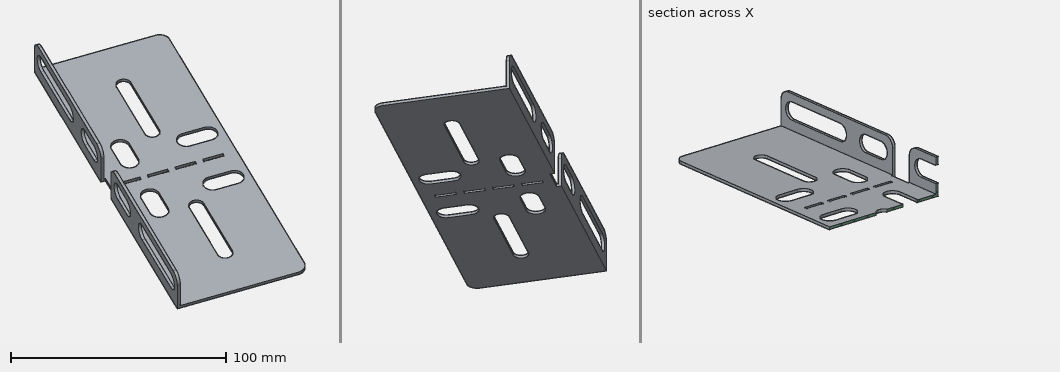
import cadquery as cq

length = 174.0
depth = 66.0
height = 20.0
thickness = 1.5
corner_radius = 5.0

gap_width = 12.0
gap_depth = 2.3

slot_width = 9.0
short_slot_length = 20.0

cross_slot_x = 16.0
cross_slot_y = 52.5
front_slot_x = 18.1
front_slot_y = 17.0

long_slot_x = 44.4
long_slot_y = 34.5
long_slot_length = 42.0
long_slot_width = 7.3

flange_slot_z = 11.3
flange_short_slot_x = 20.0
flange_long_slot_x = 61.6
flange_long_slot_length = 44.0

slit_width = 1.5
slit_length = 10.1
slit_pitch = 14.0
slit_count = 4
first_slit_y = 12.4


def mirrored(x, across):
    """Pair of points on both sides of the centre line."""
    return [(-x, across), (x, across)]


def base_slots(x, y, slot_length, width, angle=0):
    return (
        cq.Workplane("XY")
        .pushPoints(mirrored(x, y))
        .slot2D(slot_length, width, angle)
        .extrude(thickness)
    )


def flange_slots(x, slot_length):
    return (
        cq.Workplane("XZ")
        .pushPoints(mirrored(x, flange_slot_z))
        .slot2D(slot_length, slot_width)
        .extrude(-thickness)
    )


base = (
    cq.Workplane("XY")
    .box(length, depth, thickness, centered=(True, False, False))
    .edges("|Z and >Y")
    .fillet(corner_radius)
)
flange = cq.Workplane("XY").box(length, thickness, height, centered=(True, False, False))
bracket = base.union(flange)

gap = cq.Workplane("XY").box(gap_width, gap_depth, height, centered=(True, False, False))
bracket = bracket.cut(gap)
bracket = bracket.faces(">Z").edges("|Y").fillet(corner_radius)

bracket = bracket.cut(base_slots(cross_slot_x, cross_slot_y, short_slot_length, slot_width, 90))
bracket = bracket.cut(base_slots(front_slot_x, front_slot_y, short_slot_length, slot_width))
bracket = bracket.cut(base_slots(long_slot_x, long_slot_y, long_slot_length, long_slot_width))

bracket = bracket.cut(flange_slots(flange_short_slot_x, short_slot_length))
bracket = bracket.cut(flange_slots(flange_long_slot_x, flange_long_slot_length))

slit_centres = [(0, first_slit_y + i * slit_pitch) for i in range(slit_count)]
slits = (
    cq.Workplane("XY")
    .pushPoints(slit_centres)
    .rect(slit_width, slit_length)
    .extrude(thickness)
)
result = bracket.cut(slits)